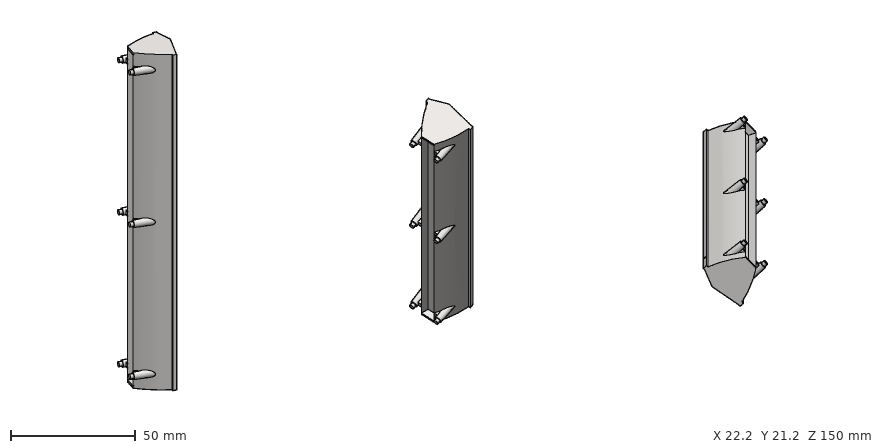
import cadquery as cq

length = 150
overall_width = 22.2
overall_depth = 21.2

bead_diameter = 0.3
bead_z = 10.0

lip_half_width = (overall_width - bead_diameter / 2) / 2
lip_bottom_y = 14.0
lip_top_y = 15.8
front_half_width = 3.2
side_mid_half_width = 7.4
side_mid_y = 6.8
side_top_half_width = 10.2
ridge_x = -2.8
ridge_y = 18.5

groove_mouth_half_width = front_half_width
groove_floor_half_width = 2.0
groove_depth = 3.0
groove_end_wall = 1.0

pin_x = 6.0
pin_end_inset = 7.0
pin_heights = (pin_end_inset, length / 2, length - pin_end_inset)
pin_root_y = 9.0
pin_root_diameter = 3.8
pin_shoulder_y = -1.2
pin_shoulder_diameter = 3.0
tip_diameter = 2.1
tip_end_y = ridge_y - overall_depth

web_thickness = 2.1
web_outer_x = 5.2
web_back_y = 3.0


def make_bar():
    return (
        cq.Workplane("XY")
        .moveTo(-front_half_width, 0)
        .lineTo(front_half_width, 0)
        .threePointArc((side_mid_half_width, side_mid_y), (side_top_half_width, lip_bottom_y))
        .lineTo(lip_half_width, lip_bottom_y)
        .lineTo(lip_half_width, lip_top_y)
        .lineTo(side_top_half_width, lip_top_y)
        .lineTo(ridge_x, ridge_y)
        .lineTo(-side_top_half_width, lip_top_y)
        .lineTo(-lip_half_width, lip_top_y)
        .lineTo(-lip_half_width, lip_bottom_y)
        .lineTo(-side_top_half_width, lip_bottom_y)
        .threePointArc((-side_mid_half_width, side_mid_y), (-front_half_width, 0))
        .close()
        .extrude(length)
    )


def make_groove():
    return (
        cq.Workplane("XY", origin=(0, 0, groove_end_wall))
        .polyline([
            (-groove_mouth_half_width, 0),
            (groove_mouth_half_width, 0),
            (groove_floor_half_width, groove_depth),
            (-groove_floor_half_width, groove_depth),
        ])
        .close()
        .extrude(length - 2 * groove_end_wall)
    )


def make_pin(x, z):
    half_profile = [
        (0, pin_root_y),
        (pin_root_diameter / 2, pin_root_y),
        (pin_shoulder_diameter / 2, pin_shoulder_y),
        (tip_diameter / 2, pin_shoulder_y),
        (tip_diameter / 2, tip_end_y),
        (0, tip_end_y),
    ]
    pin = cq.Workplane("XY").polyline(half_profile).close().revolve(360, (0, 0, 0), (0, 1, 0))
    return pin.translate((x, 0, z))


def make_web(side, z):
    return (
        cq.Workplane("XY", origin=(0, 0, z - web_thickness / 2))
        .polyline([
            (side * front_half_width, 0),
            (side * web_outer_x, 0),
            (side * web_outer_x, web_back_y),
            (side * front_half_width, web_back_y),
        ])
        .close()
        .extrude(web_thickness)
    )


def make_bead():
    return (
        cq.Workplane("XZ", origin=(-lip_half_width, lip_top_y, bead_z))
        .circle(bead_diameter / 2)
        .extrude(lip_top_y - lip_bottom_y)
    )


result = make_bar()
for z in pin_heights:
    for side in (-1, 1):
        result = result.union(make_web(side, z))
        result = result.union(make_pin(side * pin_x, z))
result = result.cut(make_groove())
result = result.union(make_bead())